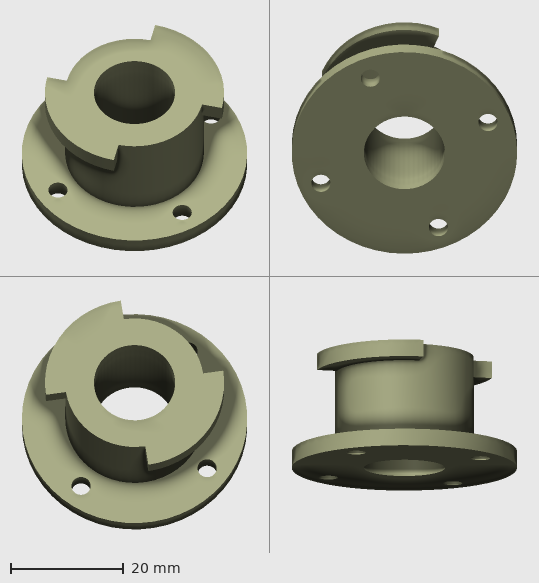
import cadquery as cq

flange_diameter = 40.0
flange_thickness = 3.0
bolt_circle_diameter = 32.0
bolt_hole_diameter = 3.4
bolt_hole_count = 4

total_height = 20.0
hub_diameter = 24.6
bore_diameter = 14.4

lug_diameter = 31.8
lug_thickness = 3.0
lug_span_angle = 89.5
lug_directions = (90.0, 270.0)


def disc(diameter, height):
    return cq.Workplane("XY").circle(diameter / 2).extrude(height)


def lug(direction):
    """Sector of a disc whose middle points along the given angle from +X."""
    return cq.Workplane(
        cq.Solid.makeCylinder(
            lug_diameter / 2,
            lug_thickness,
            pnt=cq.Vector(0, 0, total_height - lug_thickness),
            angleDegrees=lug_span_angle,
        )
    ).rotate((0, 0, 0), (0, 0, 1), direction - lug_span_angle / 2)


body = disc(flange_diameter, flange_thickness).union(disc(hub_diameter, total_height))
for direction in lug_directions:
    body = body.union(lug(direction))

bolt_holes = (
    cq.Workplane("XY")
    .polarArray(bolt_circle_diameter / 2, 0, 360, bolt_hole_count)
    .circle(bolt_hole_diameter / 2)
    .extrude(flange_thickness)
)
result = body.cut(bolt_holes).cut(disc(bore_diameter, total_height))